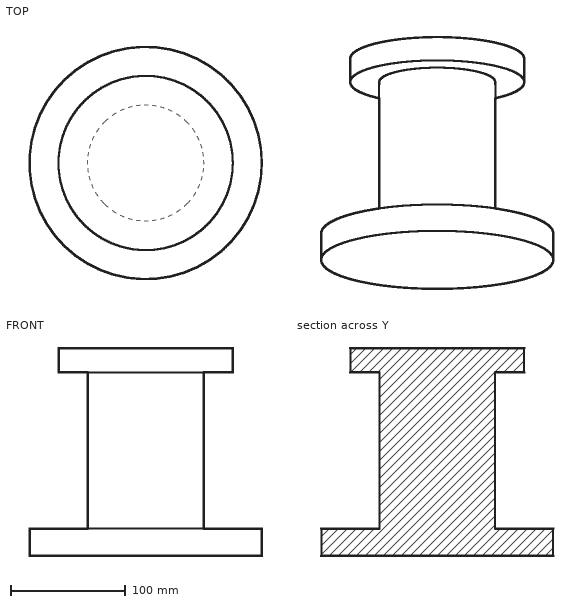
import cadquery as cq

base_diameter = 203.2
neck_diameter = 101.6
top_diameter = 152.4
total_height = 181.51
base_thickness = 23.8
top_thickness = 21.1

neck_height = total_height - base_thickness - top_thickness


def disc(diameter, height, bottom_z):
    """Solid cylinder on the Z axis, standing on the plane z = bottom_z."""
    return cq.Workplane("XY").workplane(offset=bottom_z).circle(diameter / 2).extrude(height)


base_flange = disc(base_diameter, base_thickness, 0)
neck = disc(neck_diameter, neck_height, base_thickness)
top_flange = disc(top_diameter, top_thickness, base_thickness + neck_height)

result = base_flange.union(neck).union(top_flange)